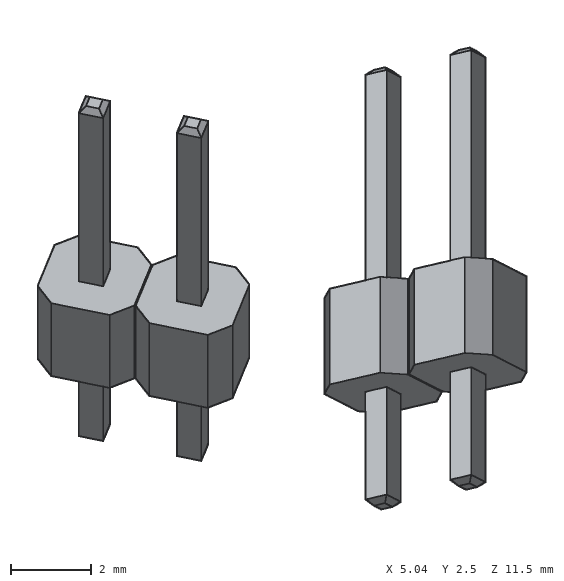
import cadquery as cq

total_height = 11.54
pitch = 2.54
contact_count = 2

block_width = 2.5
block_height = 2.54
block_bottom = 3.0
corner_bevel = 0.5

pin_width = 0.63
tip_height = 0.15
tip_inset = 0.15


def make_block():
    """Octagonal block standing around the pin axis."""
    return (
        cq.Workplane("XY")
        .workplane(offset=block_bottom)
        .rect(block_width, block_width)
        .extrude(block_height)
        .edges("|Z")
        .chamfer(corner_bevel)
    )


def make_pin():
    """Square pin from Z = 0 to full height, tapered at both ends."""
    return (
        cq.Workplane("XY")
        .rect(pin_width, pin_width)
        .extrude(total_height)
        .faces("<Z")
        .chamfer(tip_height, tip_inset)
        .faces(">Z")
        .chamfer(tip_height, tip_inset)
    )


def make_header_unit(x_centre):
    """One header unit: block and pin formed as a single solid."""
    return make_block().union(make_pin()).translate((x_centre, 0, 0))


first_centre = -pitch * (contact_count - 1) / 2
header_units = [make_header_unit(first_centre + i * pitch) for i in range(contact_count)]

result = cq.Compound.makeCompound([unit.val() for unit in header_units])